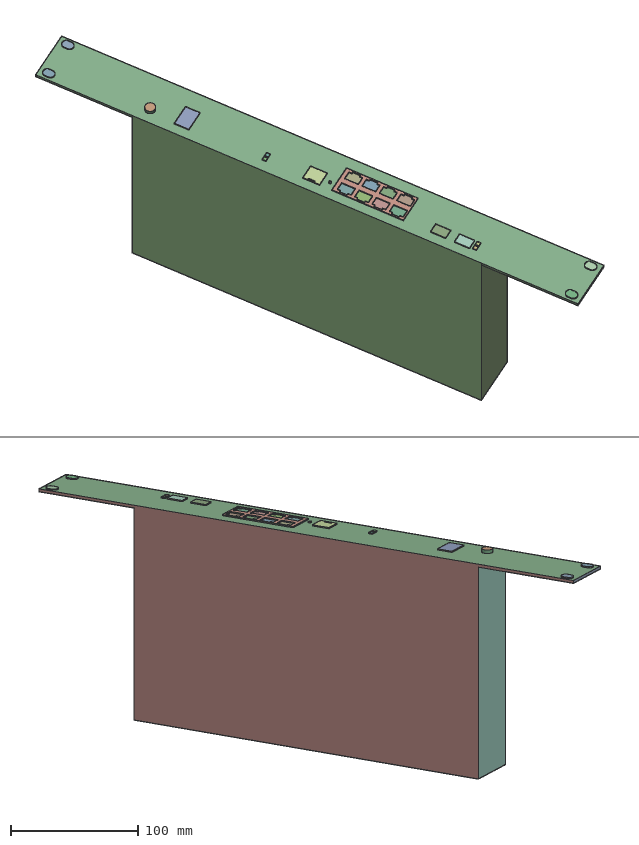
import cadquery as cq

overall_height = 180.0
panel_length = 482.5
panel_width = 43.5
panel_thickness = 2.5
housing_length = 311.0
housing_width = panel_width

relief = 1.0
knob_height = 3.0

housing_bottom = -overall_height / 2
panel_top = overall_height / 2 - knob_height
panel_bottom = panel_top - panel_thickness

mount_spacing_x, mount_spacing_y = 465.0, 32.0
mount_length, mount_width = 10.0, 7.0

base_line_y = -13.5

knob_x, knob_y = -145.7, -9.5
knob_diameter = 8.5
switch_x = -116.0
switch_length, switch_width = 13.0, 19.0

lamp_pair_centers_x = (-43.0, 144.5)
lamp_pair_y = -8.5
lamp_size = 3.5
lamp_pitch = 4.5

single_jack_x = -0.5
single_jack_length, single_jack_width = 15.0, 13.0
latch_length, latch_width = 6.0, 1.0
latch_lip = 0.5
indicator_x, indicator_y = 13.0, -7.0
indicator_size = 2.0

block_x = 49.5
block_length, block_width = 63.5, 24.5
jacks_x = 50.5
jack_columns = 4
jack_pitch = 15.5
jack_length, jack_depth = 12.0, 7.0
jack_row_gap = 5.0
tab_length, tab_depth = 6.8, 1.5

cage_centers_x = (112.5, 133.5)
cage_length, cage_width = 13.5, 8.5


def at_level(z, x=0, y=0):
    return cq.Workplane("XY", origin=(x, y, z))


def raised_plate(x, length, width):
    """A low rectangular plate whose lower edge lies on the common base line."""
    return at_level(panel_top, x, base_line_y + width / 2).rect(length, width).extrude(relief)


def lamp_pair(x):
    lamps = at_level(panel_top, x, lamp_pair_y).rarray(5, lamp_pitch, 1, 2)
    return lamps.rect(lamp_size, lamp_size).extrude(relief)


def jack_opening(x, y, side):
    """A jack recess starting at y and ending in a latch tab; side is +1 or -1 along Y."""
    half_jack, half_tab = jack_length / 2, tab_length / 2
    shoulder = side * jack_depth
    tip = side * (jack_depth + tab_depth)
    outline = [
        (-half_jack, 0), (half_jack, 0),
        (half_jack, shoulder), (half_tab, shoulder),
        (half_tab, tip), (-half_tab, tip),
        (-half_tab, shoulder), (-half_jack, shoulder),
    ]
    return at_level(panel_top, x, y).polyline(outline).close().extrude(relief)


def jack_block():
    block = raised_plate(block_x, block_length, block_width)
    middle_y = base_line_y + block_width / 2
    first_jack_x = jacks_x - (jack_columns - 1) * jack_pitch / 2
    for column in range(jack_columns):
        for side in (-1, 1):
            jack_x = first_jack_x + column * jack_pitch
            block = block.cut(jack_opening(jack_x, middle_y + side * jack_row_gap / 2, side))
    return block


def single_jack():
    body = raised_plate(single_jack_x, single_jack_length, single_jack_width)
    latch = raised_plate(single_jack_x, latch_length, latch_width).translate((0, latch_lip, 0))
    return body.cut(latch)


def mounting_pads():
    corners = at_level(panel_top).rarray(mount_spacing_x, mount_spacing_y, 2, 2)
    return corners.slot2D(mount_length, mount_width).extrude(relief)


housing = at_level(housing_bottom).rect(housing_length, housing_width).extrude(panel_top - housing_bottom)
panel = at_level(panel_bottom).rect(panel_length, panel_width).extrude(panel_thickness)

knob = at_level(panel_top, knob_x, knob_y).circle(knob_diameter / 2).extrude(knob_height)
indicator = at_level(panel_top, indicator_x, indicator_y).rect(indicator_size, indicator_size).extrude(relief)

panel_items = [
    mounting_pads(),
    knob,
    raised_plate(switch_x, switch_length, switch_width),
    single_jack(),
    indicator,
    jack_block(),
]
panel_items += [lamp_pair(x) for x in lamp_pair_centers_x]
panel_items += [raised_plate(x, cage_length, cage_width) for x in cage_centers_x]

result = housing.union(panel)
for item in panel_items:
    result = result.union(item)